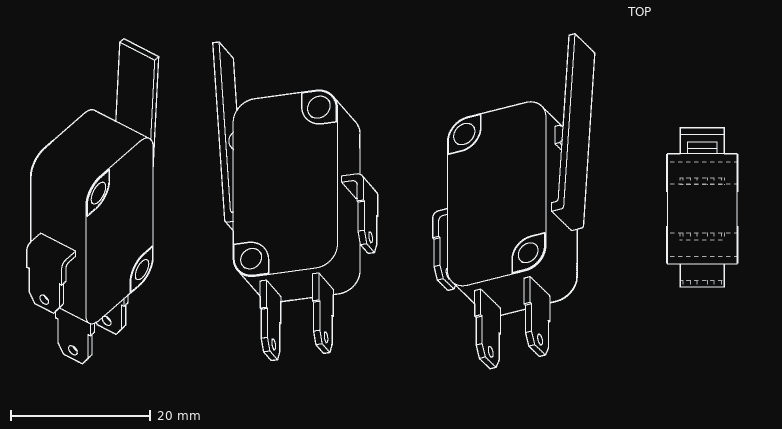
import cadquery as cq
import math

body_width = 10.0
body_depth = 15.85
body_height = 27.8
body_corner_radius = 3.25
body_back = body_depth / 2
body_front = -body_back
body_top = body_height / 2
body_bottom = -body_top

pad_thickness = 0.15
pad_inset = 0.15
pad_size = 5.25
pad_corner_radius = body_corner_radius - pad_inset
hole_edge_distance = pad_inset + pad_size / 2
upper_hole_diameter = 3.4
lower_hole_diameter = 3.15

blade_thickness = 1.0
blade_length = 10.5
shoulder_width = 6.35
shoulder_length = 4.25
blade_width = 5.45
tip_width = 3.4
tip_taper_length = 1.7
blade_hole_diameter = 1.55
terminal_spacing = 7.95
side_terminal_reach = 3.3
side_terminal_top = 0.8
bend_outer_radius = 1.0
bend_inner_radius = 0.75

lever_width = shoulder_width
lever_thickness = 1.0
lever_rise = 10.5
lever_tip_reach = 3.75
lever_angle = 3.7
lever_foot_bottom = -4.0
lever_foot_thickness = 1.4
lever_outer_radius = 0.4
lever_inner_radius = 0.45

plunger_width = 4.25
plunger_height = 2.9
plunger_reach = 1.65
plunger_crown = 0.95
plunger_z = 9.15

embed = 0.5


def side_profile():
    """Sketch plane in Y and Z whose extrusions run along X."""
    return cq.Workplane("YZ")


def make_body():
    body = side_profile().rect(body_depth, body_height).extrude(body_width / 2, both=True)
    return body.edges("|X").fillet(body_corner_radius)


def hole_centre(side):
    """Y and Z of the upper front (side=1) or lower back (side=-1) mounting hole."""
    return (
        side * (body_front + hole_edge_distance),
        side * (body_top - hole_edge_distance),
    )


def make_pad(side):
    """Pad standing proud of both housing faces, rounded at two opposite corners."""
    half_width = body_width / 2 + pad_thickness
    pad = side_profile().center(*hole_centre(side)).rect(pad_size, pad_size)
    pad = pad.extrude(half_width, both=True)
    return pad.edges("|X and (<(0, -1, 1) or >(0, -1, 1))").fillet(pad_corner_radius)


def make_mounting_hole(side, diameter):
    return side_profile().center(*hole_centre(side)).circle(diameter / 2).extrude(body_width, both=True)


def make_blade(y, top):
    """Vertical spade blade centred at y, with its shoulder starting at top."""
    tip = top - blade_length
    taper_start = tip + tip_taper_length
    shoulder_end = top - shoulder_length
    right_side = [
        (shoulder_width / 2, top),
        (shoulder_width / 2, shoulder_end),
        (blade_width / 2, shoulder_end),
        (blade_width / 2, taper_start),
        (tip_width / 2, tip),
    ]
    left_side = [(-x, z) for x, z in reversed(right_side)]
    plane = cq.Workplane("XZ", origin=(0, y, 0))
    blade = plane.polyline(right_side + left_side).close().extrude(blade_thickness / 2, both=True)
    hole = plane.center(0, taper_start).circle(blade_hole_diameter / 2)
    return blade.cut(hole.extrude(blade_thickness, both=True))


def make_bottom_terminal(y):
    root = cq.Workplane("XY").box(shoulder_width, blade_thickness, 2 * embed)
    return make_blade(y, body_bottom).union(root.translate((0, y, body_bottom)))


def make_side_terminal():
    """Terminal leaving the front of the housing and bending down."""
    outer_y = body_front - side_terminal_reach
    inner_y = outer_y + blade_thickness
    underside = side_terminal_top - blade_thickness
    blade = make_blade(outer_y + blade_thickness / 2, side_terminal_top)
    arm_start = body_front + embed
    arm_centre = (0, (arm_start + outer_y) / 2, side_terminal_top - blade_thickness / 2)
    arm = cq.Workplane("XY").box(shoulder_width, arm_start - outer_y, blade_thickness)
    terminal = blade.union(arm.translate(arm_centre))
    outer_edge = cq.selectors.NearestToPointSelector((0, outer_y, side_terminal_top))
    inner_edge = cq.selectors.NearestToPointSelector((0, inner_y, underside))
    terminal = terminal.edges(outer_edge).fillet(bend_outer_radius)
    return terminal.edges(inner_edge).fillet(bend_inner_radius)


def make_lever():
    """Leaning lever with a short foot joined to the back of the housing."""
    tip_z = body_top + lever_rise
    tip_y = body_back + lever_tip_reach
    foot_top = lever_foot_bottom + lever_foot_thickness
    slope = math.tan(math.radians(lever_angle))
    heel_y = tip_y - slope * (tip_z - lever_foot_bottom)
    crook_y = tip_y - lever_thickness - slope * (tip_z - foot_top)
    outline = [
        (body_back - embed, lever_foot_bottom),
        (heel_y, lever_foot_bottom),
        (tip_y, tip_z),
        (tip_y - lever_thickness, tip_z),
        (crook_y, foot_top),
        (body_back - embed, foot_top),
    ]
    lever = side_profile().polyline(outline).close().extrude(lever_width / 2, both=True)
    heel_edge = cq.selectors.NearestToPointSelector((0, heel_y, lever_foot_bottom))
    crook_edge = cq.selectors.NearestToPointSelector((0, crook_y, foot_top))
    lever = lever.edges(heel_edge).fillet(lever_outer_radius)
    return lever.edges(crook_edge).fillet(lever_inner_radius)


def make_plunger():
    """Plunger with a rounded end facing the lever."""
    half_height = plunger_height / 2
    end_y = body_back + plunger_reach
    crown_y = end_y - plunger_crown
    root_y = body_back - embed
    plunger = side_profile().moveTo(root_y, plunger_z - half_height)
    plunger = plunger.lineTo(crown_y, plunger_z - half_height)
    plunger = plunger.threePointArc((end_y, plunger_z), (crown_y, plunger_z + half_height))
    plunger = plunger.lineTo(root_y, plunger_z + half_height).close()
    return plunger.extrude(plunger_width / 2, both=True)


result = make_body()
for side, diameter in ((1, upper_hole_diameter), (-1, lower_hole_diameter)):
    result = result.union(make_pad(side))
    result = result.cut(make_mounting_hole(side, diameter))
for y in (-terminal_spacing / 2, terminal_spacing / 2):
    result = result.union(make_bottom_terminal(y))
result = result.union(make_side_terminal())
result = result.union(make_lever())
result = result.union(make_plunger())